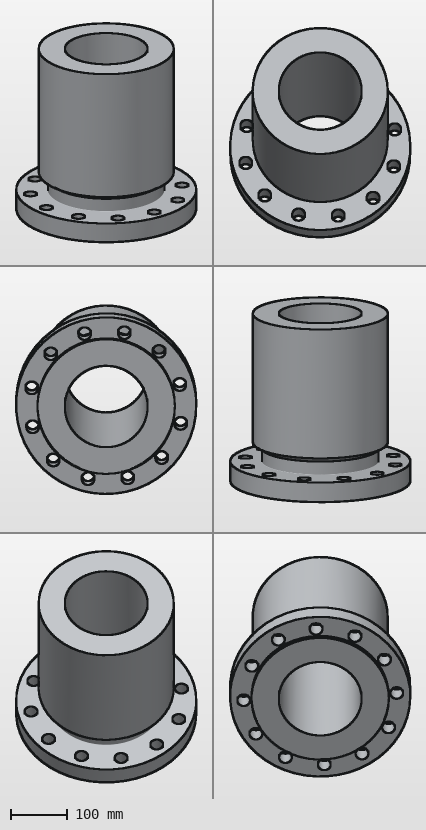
import cadquery as cq

flange_diameter = 317.5
total_height = 311.0
bore_diameter = 146.0

face_diameter = 242.0
neck_diameter = 205.7
barrel_diameter = 238.0

face_height = 7.5
flange_thickness = 36.0
neck_height = 24.0
cone_height = 9.8

neck_fillet = 0.5

bolt_count = 12
bolt_circle_diameter = 269.8
bolt_hole_diameter = 22.5

flange_top = face_height + flange_thickness
neck_top = flange_top + neck_height
barrel_bottom = neck_top + cone_height


def turned_body():
    """Half section of the raised face, flange, neck and barrel, turned about Z."""
    bore_radius = bore_diameter / 2
    face_radius = face_diameter / 2
    flange_radius = flange_diameter / 2
    neck_radius = neck_diameter / 2
    barrel_radius = barrel_diameter / 2
    section = (
        cq.Workplane("XZ")
        .moveTo(bore_radius, 0)
        .lineTo(face_radius, 0)
        .lineTo(face_radius, face_height)
        .lineTo(flange_radius, face_height)
        .lineTo(flange_radius, flange_top)
        .lineTo(neck_radius + neck_fillet, flange_top)
        .radiusArc((neck_radius, flange_top + neck_fillet), neck_fillet)
        .lineTo(neck_radius, neck_top)
        .lineTo(barrel_radius, barrel_bottom)
        .lineTo(barrel_radius, total_height)
        .lineTo(bore_radius, total_height)
        .close()
    )
    return section.revolve(360, (0, 0), (0, 1))


def bolt_holes():
    """Ring of cylinders that pass through the flange."""
    return (
        cq.Workplane("XY")
        .polarArray(bolt_circle_diameter / 2, 0, 360, bolt_count)
        .circle(bolt_hole_diameter / 2)
        .extrude(flange_top)
    )


result = turned_body().cut(bolt_holes())